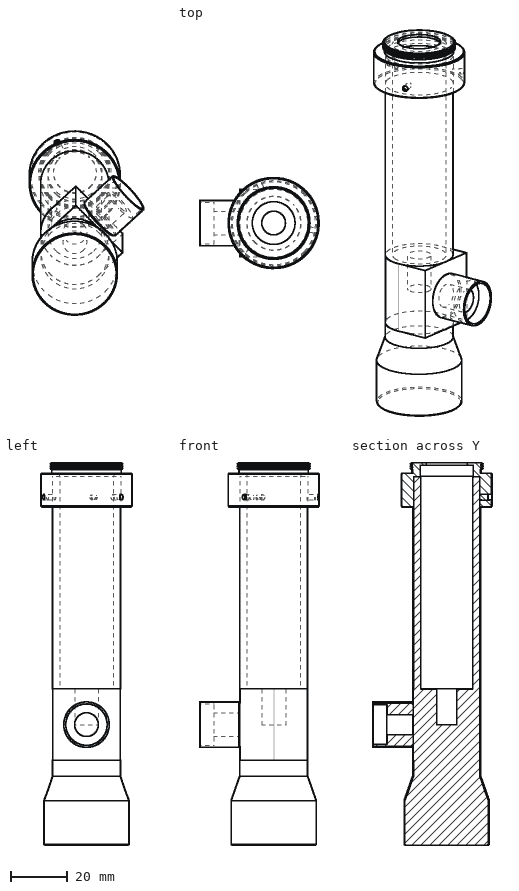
import cadquery as cq

total_height = 134.4
edge_chamfer = 0.4

tube_radius = 12.0
head_radius = 30.0 / 2
head_height = 15.7
cone_top = 24.3
block_bottom = 29.8
block_height = 25.1
block_top = block_bottom + block_height
block_middle = block_bottom + block_height / 2
block_step = 0.07
block_half_width = tube_radius - block_step
tube_bore_radius = 9.4
aperture_radius = 4.2

collar_radius = 32.0 / 2
collar_height = 12.0
collar_top = 130.8
collar_bottom = collar_top - collar_height
lip_radius = 7.5
lip_thickness = 1.0
adapter_bore_radius = 9.5
tube_top = total_height - 4.8

thread_radius = 12.8
thread_depth = 0.5
thread_pitch = 0.8
thread_turns = 3
thread_root_radius = thread_radius - thread_depth
thread_end = total_height - thread_turns * thread_pitch

screw_count = 3
screw_radius = 1.0
screw_height = 122.3
screw_recess = 1.3
first_screw_angle = 110.0
hole_overrun = 1.3

port_radius = 16.0 / 2
port_end = 26.0
port_bore_radius = 7.3
port_bore_depth = 5.0


def revolve_about_z(profile):
    """Solid of revolution from a list of (radius, height) points."""
    return cq.Workplane("XZ").polyline(profile).close().revolve(360, (0, 0), (0, 1))


def vertical_cylinder(radius, bottom, top):
    return cq.Workplane("XY").workplane(offset=bottom).circle(radius).extrude(top - bottom)


def cylinder_along_x(radius, start, end, height):
    section = cq.Workplane("YZ").workplane(offset=start).center(0, height).circle(radius)
    return section.extrude(end - start)


def make_lower_body():
    """Head, cone and the short length of tube below the block."""
    return revolve_about_z([
        (0, 0),
        (head_radius - edge_chamfer, 0),
        (head_radius, edge_chamfer),
        (head_radius, head_height),
        (tube_radius, cone_top),
        (tube_radius, block_bottom),
        (0, block_bottom),
    ])


def make_block():
    """D-shaped block: square towards -X, rounded towards +X."""
    outline = (
        cq.Workplane("XY")
        .workplane(offset=block_bottom)
        .moveTo(0, -block_half_width)
        .threePointArc((block_half_width, 0), (0, block_half_width))
        .lineTo(-block_half_width, block_half_width)
        .lineTo(-block_half_width, -block_half_width)
        .close()
    )
    return outline.extrude(block_height)


def make_main_body():
    tube = vertical_cylinder(tube_radius, block_top, tube_top)
    tube_bore = vertical_cylinder(tube_bore_radius, block_top, tube_top)
    aperture = vertical_cylinder(aperture_radius, block_middle, block_top)
    return make_lower_body().union(make_block()).union(tube).cut(tube_bore).cut(aperture)


def radial_rod(inner, outer, angle):
    """Rod of the screw's diameter, pointing outwards at the given angle from +X."""
    rod = cylinder_along_x(screw_radius, inner, outer, screw_height)
    return rod.rotate((0, 0, 0), (0, 0, 1), angle)


def make_set_screw(angle):
    return radial_rod(tube_radius, collar_radius - screw_recess, angle)


def thread_outline():
    """Root and crest points of the thread rings, from the top down."""
    points = []
    for turn in range(thread_turns):
        ring_top = total_height - turn * thread_pitch
        points.append((thread_root_radius, ring_top))
        points.append((thread_radius, ring_top - thread_pitch / 2))
    points.append((thread_root_radius, thread_end))
    return points


def make_adapter(angles):
    lip_bottom = total_height - lip_thickness
    adapter = revolve_about_z([
        (lip_radius, total_height),
        *thread_outline(),
        (thread_root_radius, collar_top),
        (collar_radius - edge_chamfer, collar_top),
        (collar_radius, collar_top - edge_chamfer),
        (collar_radius, collar_bottom + edge_chamfer),
        (collar_radius - edge_chamfer, collar_bottom),
        (tube_radius, collar_bottom),
        (tube_radius, tube_top),
        (adapter_bore_radius, tube_top),
        (adapter_bore_radius, lip_bottom),
        (lip_radius, lip_bottom),
    ])
    for angle in angles:
        screw_hole = radial_rod(tube_radius - hole_overrun, collar_radius + hole_overrun, angle)
        adapter = adapter.cut(screw_hole)
    return adapter


def make_side_port():
    """Round port with a wide outer bore and a narrow hole through to the block."""
    inner_end = -block_half_width
    port = cylinder_along_x(port_radius, -port_end, inner_end, block_middle)
    port = port.faces(">X").chamfer(edge_chamfer)
    wide_bore = cylinder_along_x(port_bore_radius, -port_end, port_bore_depth - port_end, block_middle)
    narrow_hole = cylinder_along_x(aperture_radius, -port_end, inner_end, block_middle)
    return port.cut(wide_bore).cut(narrow_hole)


screw_angles = [first_screw_angle + i * 360 / screw_count for i in range(screw_count)]

main_body = make_main_body()
adapter = make_adapter(screw_angles)
side_port = make_side_port()
set_screws = [make_set_screw(angle) for angle in screw_angles]

result = cq.Compound.makeCompound([
    main_body.val(),
    adapter.val(),
    side_port.val(),
    *[screw.val() for screw in set_screws],
])